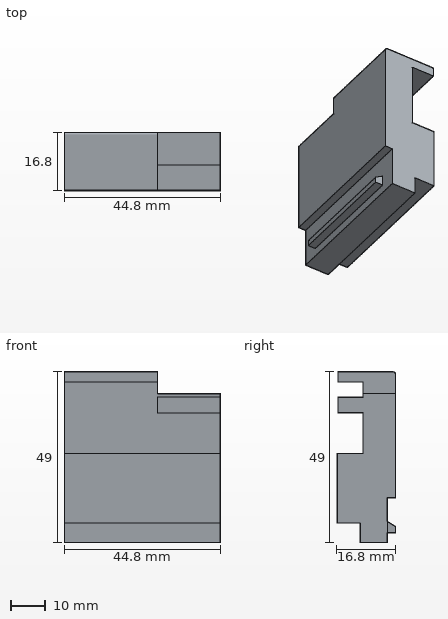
import cadquery as cq

LENGTH = 44.8
DEPTH = 16.8
HEIGHT = 49.0

WALL_DEPTH = 9.4
FLANGE_DEPTH = 16.6
REAR_STEP_DEPTH = 2.4
FOOT_FRONT_DEPTH = 10.2

FOOT_HEIGHT = 5.6
BLOCK_HEIGHT = 20.0
REAR_STEP_HEIGHT = 12.8

FLANGE_THICKNESS = 3.0
REAR_EDGE_RADIUS = 0.8

NOTCH_LENGTH = 18.0
NOTCH_DROP = 6.3
LEDGE_DROP = 7.3
LEDGE_THICKNESS = 4.5

HOOK_INSET = 5.0
HOOK_BOTTOM = 2.8
HOOK_LIP_HEIGHT = 1.8
HOOK_ROOT_HEIGHT = 3.3

RIGHT = LENGTH / 2
FRONT = -DEPTH / 2
BACK = DEPTH / 2
BOTTOM = -HEIGHT / 2
TOP = HEIGHT / 2
WALL_FRONT = BACK - WALL_DEPTH
FLANGE_FRONT = BACK - FLANGE_DEPTH
FOOT_FRONT = BACK - FOOT_FRONT_DEPTH
FOOT_BACK = BACK - REAR_STEP_DEPTH
BLOCK_BOTTOM = BOTTOM + FOOT_HEIGHT
BLOCK_TOP = BLOCK_BOTTOM + BLOCK_HEIGHT
NOTCH_LEFT = RIGHT - NOTCH_LENGTH


def extrude_along_x(outline, length):
    """Bar of the given length, centred on X = 0, with the given (y, z) outline."""
    return cq.Workplane("YZ").polyline(outline).close().extrude(length / 2, both=True)


def make_body():
    """Foot, front block, wall and top flange as one profile."""
    rear_step = BOTTOM + REAR_STEP_HEIGHT
    flange_bottom = TOP - FLANGE_THICKNESS
    outline = [
        (FOOT_BACK, BOTTOM),
        (FOOT_FRONT, BOTTOM),
        (FOOT_FRONT, BLOCK_BOTTOM),
        (FRONT, BLOCK_BOTTOM),
        (FRONT, BLOCK_TOP),
        (WALL_FRONT, BLOCK_TOP),
        (WALL_FRONT, flange_bottom),
        (FLANGE_FRONT, flange_bottom),
        (FLANGE_FRONT, TOP),
        (BACK, TOP),
        (BACK, rear_step),
        (FOOT_BACK, rear_step),
    ]
    top_rear_edge = cq.selectors.NearestToPointSelector((0, BACK, TOP))
    return extrude_along_x(outline, LENGTH).edges(top_rear_edge).fillet(REAR_EDGE_RADIUS)


def make_hook():
    """Snap hook with a flat underside and a sloping top."""
    hook_bottom = BOTTOM + HOOK_BOTTOM
    outline = [
        (FOOT_BACK, hook_bottom),
        (BACK, hook_bottom),
        (BACK, hook_bottom + HOOK_LIP_HEIGHT),
        (FOOT_BACK, hook_bottom + HOOK_ROOT_HEIGHT),
    ]
    return extrude_along_x(outline, LENGTH - 2 * HOOK_INSET)


def make_end_notch():
    """Cutter that removes the flange and wall top at the right-hand end."""
    return cq.Workplane("XY").box(NOTCH_LENGTH, DEPTH, NOTCH_DROP, centered=False).translate(
        (NOTCH_LEFT, FRONT, TOP - NOTCH_DROP)
    )


def make_ledge():
    """Ledge standing out from the wall below the notch."""
    ledge_bottom = TOP - LEDGE_DROP - LEDGE_THICKNESS
    ledge_depth = WALL_FRONT - FLANGE_FRONT
    return cq.Workplane("XY").box(NOTCH_LENGTH, ledge_depth, LEDGE_THICKNESS, centered=False).translate(
        (NOTCH_LEFT, FLANGE_FRONT, ledge_bottom)
    )


result = make_body().cut(make_end_notch()).union(make_hook()).union(make_ledge())